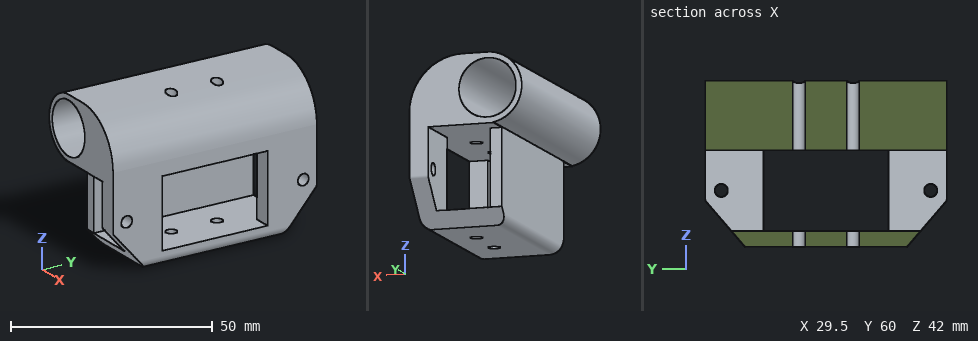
import cadquery as cq

length = 60.0
tube_radius = 9.0
bore_diameter = 15.0
right_side = 20.5
shoulder_radius = 14.0

box_left = -1.55
box_bottom = -33.0
box_top = -8.45
box_corner_radius = 2.5
cavity_left = 1.5
cavity_right = 15.6
cavity_floor = -29.0
left_wall_length = 47.05
window_length = 30.95

slope_top = -21.5
bottom_length = 40.2
slope_blend_radius = 1.0

screw_diameter = 3.0
screw_x = 10.9
screw_spacing = 13.45
ear_hole_diameter = 3.2
ear_hole_spacing = 51.95
ear_hole_z = -18.95

half_length = length / 2
tube_bottom = -tube_radius


def make_head():
    """Tube with a flat top and a rounded shoulder, extruded along Y."""
    shoulder_x = right_side - shoulder_radius
    shoulder_z = tube_radius - shoulder_radius
    diagonal = shoulder_radius / 2 ** 0.5
    return (
        cq.Workplane("XZ", origin=(0, half_length, 0))
        .moveTo(0, tube_bottom)
        .threePointArc((-tube_radius, 0), (0, tube_radius))
        .lineTo(shoulder_x, tube_radius)
        .threePointArc((shoulder_x + diagonal, shoulder_z + diagonal), (right_side, shoulder_z))
        .lineTo(right_side, tube_bottom)
        .close()
        .extrude(length)
    )


def make_box():
    """Hollow box open at both ends, with sloped lower ends, a short left wall and a right window."""
    width = right_side - box_left
    profile = (
        cq.Workplane("YZ", origin=(box_left, 0, 0))
        .moveTo(-half_length, box_top)
        .lineTo(-half_length, slope_top)
        .lineTo(-bottom_length / 2, box_bottom)
        .lineTo(bottom_length / 2, box_bottom)
        .lineTo(half_length, slope_top)
        .lineTo(half_length, box_top)
        .close()
        .extrude(width)
    )
    slope_corners = cq.selectors.BoxSelector(
        (box_left - 0.6, -half_length - 0.6, slope_top - 0.6),
        (right_side + 0.6, half_length + 0.6, slope_top + 0.6),
    )
    body = profile.edges(slope_corners).fillet(slope_blend_radius)

    rounded_section = (
        cq.Workplane("XY")
        .box(width, length, box_top - box_bottom, centered=(False, True, False))
        .translate((box_left, 0, box_bottom))
        .edges("|Y and <Z")
        .fillet(box_corner_radius)
    )
    body = body.intersect(rounded_section)

    cavity = (
        cq.Workplane("XY")
        .box(cavity_right - cavity_left, length, tube_bottom - cavity_floor, centered=(False, True, False))
        .translate((cavity_left, 0, cavity_floor))
    )
    body = body.cut(cavity)

    window = (
        cq.Workplane("XY")
        .box(right_side - cavity_right, window_length, tube_bottom - cavity_floor, centered=(False, True, False))
        .translate((cavity_right, 0, cavity_floor))
    )
    body = body.cut(window)

    end_length = half_length - left_wall_length / 2
    for side in (-1, 1):
        wall_gap = (
            cq.Workplane("XY")
            .box(cavity_left - box_left, end_length, tube_bottom - cavity_floor, centered=(False, True, False))
            .translate((box_left, side * (half_length - end_length / 2), cavity_floor))
        )
        body = body.cut(wall_gap)
    return body


def make_bore():
    return cq.Workplane("XZ", origin=(0, half_length, 0)).circle(bore_diameter / 2).extrude(length)


def make_screw_holes():
    """Vertical holes through the shoulder and the box floor."""
    return (
        cq.Workplane("XY", origin=(screw_x, 0, box_bottom))
        .pushPoints([(0, -screw_spacing / 2), (0, screw_spacing / 2)])
        .circle(screw_diameter / 2)
        .extrude(tube_radius - box_bottom)
    )


def make_ear_holes():
    """Crosswise holes through the projecting ends of the right wall."""
    return (
        cq.Workplane("YZ", origin=(cavity_right, 0, 0))
        .pushPoints([(-ear_hole_spacing / 2, ear_hole_z), (ear_hole_spacing / 2, ear_hole_z)])
        .circle(ear_hole_diameter / 2)
        .extrude(right_side - cavity_right)
    )


result = make_head().union(make_box())
result = result.cut(make_bore()).cut(make_screw_holes()).cut(make_ear_holes())